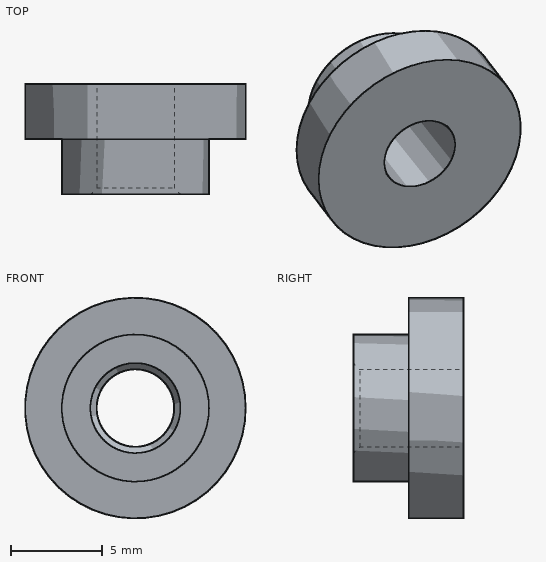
import cadquery as cq

flange_diameter = 12.0
total_length = 6.0
flange_thickness = total_length / 2
boss_diameter = flange_diameter * 2 / 3
bore_diameter = 4.2
bore_chamfer = 0.35

flange = cq.Workplane("XZ").circle(flange_diameter / 2).extrude(flange_thickness)
boss = cq.Workplane("XZ").circle(boss_diameter / 2).extrude(total_length)
bore = cq.Workplane("XZ").circle(bore_diameter / 2).extrude(total_length)

bushing = flange.union(boss).cut(bore)

bore_mouth = bushing.faces("<Y").edges(cq.selectors.RadiusNthSelector(0))
result = bore_mouth.chamfer(bore_chamfer)